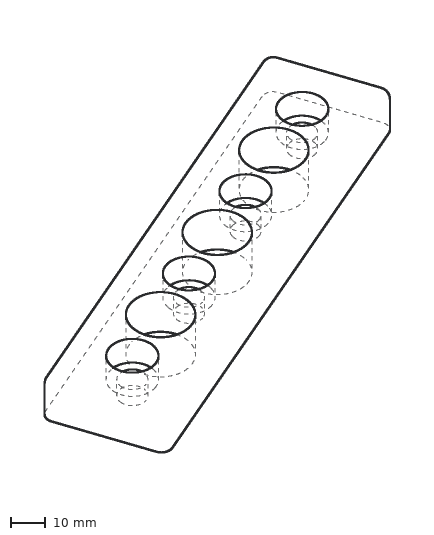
import cadquery as cq

length = 160.0
width = length / 4
height = 15.0
edge_radius = 3.5

hole_pitch = length / 4
clearance_diameter = width / 2
screw_diameter = 9.0
counterbore_diameter = 15.0
counterbore_depth = 9.0

screw_count = 4
clearance_count = screw_count - 1


def row_of_points(count):
    """Evenly pitched points along Y, centred on the bar."""
    first = -(count - 1) * hole_pitch / 2
    return [(0, first + i * hole_pitch) for i in range(count)]


bar = cq.Workplane("XY").box(width, length, height, centered=(True, True, False))
bar = bar.edges("|Z or >Z").fillet(edge_radius)

top_plane = cq.Workplane("XY").workplane(offset=height)
clearance_holes = (
    top_plane.pushPoints(row_of_points(clearance_count))
    .circle(clearance_diameter / 2)
    .extrude(-height)
)

screw_points = row_of_points(screw_count)
screw_holes = top_plane.pushPoints(screw_points).circle(screw_diameter / 2).extrude(-height)
counterbores = (
    top_plane.pushPoints(screw_points)
    .circle(counterbore_diameter / 2)
    .extrude(-counterbore_depth)
)

result = bar.cut(clearance_holes).cut(screw_holes).cut(counterbores)